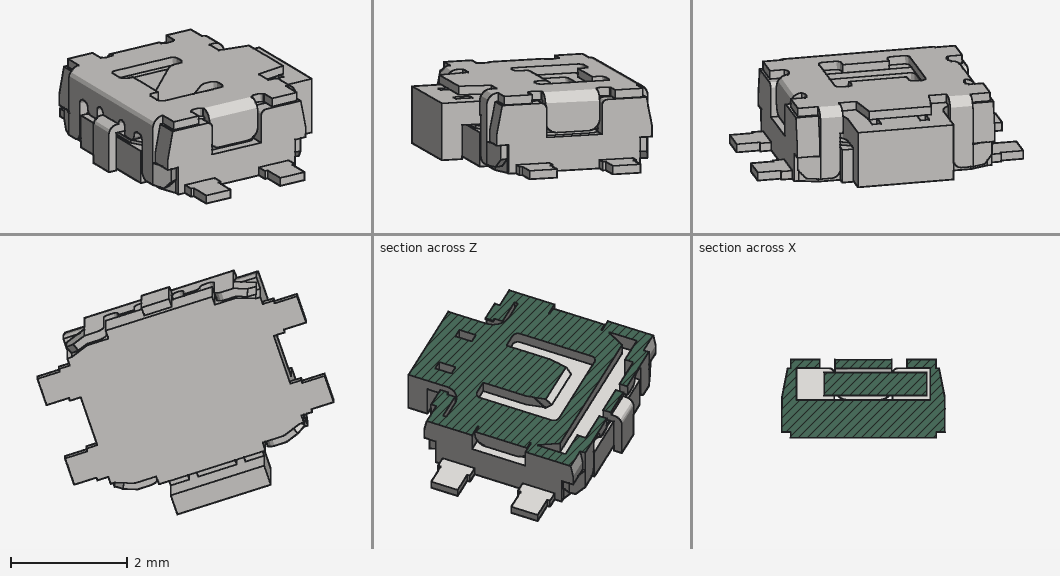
import cadquery as cq
import math

SHEET = 0.15
SMALL_R = 0.1
BEND_R = 0.2
HEIGHT = 1.35

BODY_X = 1.75
BODY_Y = 1.3
BODY_Z = HEIGHT - SHEET
FLOOR_Z = 0.595
CAVITY_X = 1.505
CAVITY_Y = 1.145
MOUTH_X = 1.0
BLOCK_X = 0.965

CORNER_Y = 1.4
POST_BREAK_Z = 0.7
POST_FOOT_Z = 0.505

FLAP_X = 1.35
FLAP_Y = BODY_Y + SHEET
FLAP_FOOT_Z = 0.1
WING_ANGLE = 20.0
WING_REACH = 1.72

SIDE_Y = 0.5
SIDE_X = 1.65

ARM_X = 0.845


def box(x0, x1, y0, y1, z0, z1):
    """Axis-aligned block between two corners."""
    return cq.Workplane("XY").box(x1 - x0, y1 - y0, z1 - z0, centered=False).translate((x0, y0, z0))


def with_mirrors(shape, *planes):
    """Shape joined with its mirror image in each plane in turn."""
    for plane in planes:
        shape = shape.union(shape.mirror(plane))
    return shape


def corner_post():
    """Post in the +X, -Y corner; its outer face leans inward at the top."""
    profile = [
        (0, POST_FOOT_Z),
        (-CORNER_Y, POST_FOOT_Z),
        (-CORNER_Y, POST_BREAK_Z),
        (-BODY_Y, BODY_Z),
        (0, BODY_Z),
    ]
    post = cq.Workplane("YZ").polyline(profile).close().extrude(BODY_X - FLAP_X)
    return post.translate((FLAP_X, 0, 0))


def wing_relief():
    """Pocket in the +X, -Y corner below the post, parallel to the wing."""
    run = (WING_REACH - FLAP_X) - SHEET * math.sin(math.radians(WING_ANGLE))
    inner_y = BODY_Y - run * math.tan(math.radians(WING_ANGLE))
    plan = [
        (FLAP_X, -BODY_Y),
        (FLAP_X + run, -inner_y),
        (BODY_X, -inner_y),
        (BODY_X, -FLAP_Y),
        (FLAP_X, -FLAP_Y),
    ]
    return cq.Workplane("XY").polyline(plan).close().extrude(POST_FOOT_Z)


def side_window():
    """Opening through both side walls with rounded upper lips."""
    sill_to_top = BODY_Z - FLOOR_Z
    return (
        cq.Workplane("YZ")
        .moveTo(-SIDE_Y, FLOOR_Z)
        .lineTo(SIDE_Y, FLOOR_Z)
        .vLine(sill_to_top - SMALL_R)
        .radiusArc((SIDE_Y + SMALL_R, BODY_Z), SMALL_R)
        .hLine(-2 * (SIDE_Y + SMALL_R))
        .radiusArc((-SIDE_Y, BODY_Z - SMALL_R), SMALL_R)
        .close()
        .extrude(BODY_X, both=True)
    )


def make_body():
    body = box(-BODY_X, BODY_X, -BODY_Y, BODY_Y, 0, BODY_Z)
    body = body.union(with_mirrors(corner_post(), "YZ", "XZ"))
    body = body.cut(with_mirrors(wing_relief(), "YZ", "XZ"))
    body = body.cut(box(-CAVITY_X, CAVITY_X, -CAVITY_Y, CAVITY_Y, FLOOR_Z, BODY_Z))
    body = body.cut(box(-MOUTH_X, MOUTH_X, -FLAP_Y, FLAP_Y, FLOOR_Z, BODY_Z))
    body = body.cut(side_window())
    return body.union(box(-BLOCK_X, BLOCK_X, -FLAP_Y, FLAP_Y, 0, FLOOR_Z))


FILM_TOP_Z = 0.655
FILM_X = 1.575
FILM_Y = 1.4
FILM_ANGLE = 29.0
FILM_END_X = 0.55


def make_film():
    """Film over the cavity floor, reaching into the side windows and end openings."""
    thickness = FILM_TOP_Z - FLOOR_Z
    film = box(-CAVITY_X, CAVITY_X, -CAVITY_Y, CAVITY_Y, 0, thickness)
    side_ears = box(-FILM_X, FILM_X, -SIDE_Y, SIDE_Y, 0, thickness)
    film = film.union(side_ears.edges("|Z").fillet(SHEET))
    ear_root_y = FILM_Y - (MOUTH_X - FILM_END_X) * math.tan(math.radians(FILM_ANGLE))
    end_ear = [
        (-MOUTH_X, 0),
        (-MOUTH_X, -ear_root_y),
        (-FILM_END_X, -FILM_Y),
        (FILM_END_X, -FILM_Y),
        (MOUTH_X, -ear_root_y),
        (MOUTH_X, 0),
    ]
    end_ear = cq.Workplane("XY").polyline(end_ear).close().extrude(thickness)
    return film.union(with_mirrors(end_ear, "XZ")).translate((0, 0, FLOOR_Z))


LEAD_PITCH_Y = 0.75
LEAD_TIP_X = 2.35
LEAD_STEP_X = 1.945
LEAD_HALF_WIDTH = 0.25
LEAD_ROOT_HALF_WIDTH = 0.3


def make_leads():
    y = LEAD_PITCH_Y
    tip = box(BODY_X, LEAD_TIP_X, y - LEAD_HALF_WIDTH, y + LEAD_HALF_WIDTH, 0, SHEET)
    root = box(BODY_X, LEAD_STEP_X, y - LEAD_ROOT_HALF_WIDTH, y + LEAD_ROOT_HALF_WIDTH, 0, SHEET)
    return with_mirrors(tip.union(root), "YZ", "XZ")


TONGUE_TIP_X = 0.41
TONGUE_ROOT_X = 0.505
TONGUE_BEND_Y = 0.145
TONGUE_TIP_Y = -0.405
TONGUE_ANGLE = 48.0


def tongue_bend_end_y():
    """Y where the bend of the tongue runs out into its straight slope."""
    return TONGUE_BEND_Y - SHEET * math.sin(math.radians(TONGUE_ANGLE))


def tongue_outline(half_width):
    """Full-height prism over the tongue: straight at the bend, then tapering to the tip."""
    tip_x = TONGUE_TIP_X - (TONGUE_ROOT_X - half_width)
    plan = [
        (-half_width, TONGUE_BEND_Y),
        (-half_width, tongue_bend_end_y()),
        (-tip_x, TONGUE_TIP_Y),
        (tip_x, TONGUE_TIP_Y),
        (half_width, tongue_bend_end_y()),
        (half_width, TONGUE_BEND_Y),
    ]
    return cq.Workplane("XY").polyline(plan).close().extrude(HEIGHT)


PLUNGER_Z0 = 0.725
PLUNGER_Z1 = 1.125
FRAME_FRONT_Y = -0.965
FRAME_BACK_Y = 1.09
FRAME_NOSE_X = 1.315
FRAME_SHOULDER_Y = -0.63
ARM_ROOT_R = 0.3
OPENING_FRONT_Y = -0.69
OPENING_BACK_Y = 0.845
CAM_X = 0.5
BUTTON_Y = 2.1
BUTTON_DEPTH = 0.36
BUTTON_Z0 = 0.125
ARM_SLOT_X0 = 0.35
ARM_SLOT_X1 = 0.508
ARM_SLOT_LENGTH = 0.3


def cam_ramp():
    """Ramp of the plunger that fills the space under the tongue."""
    drop = BODY_Z - PLUNGER_Z0
    toe_y = TONGUE_BEND_Y - drop / math.tan(math.radians(TONGUE_ANGLE))
    side = [(TONGUE_BEND_Y, BODY_Z), (toe_y, PLUNGER_Z0), (TONGUE_BEND_Y, PLUNGER_Z0)]
    wedge = cq.Workplane("YZ").polyline(side).close().extrude(CAM_X, both=True)
    return wedge.intersect(tongue_outline(CAM_X))


def make_plunger():
    height = PLUNGER_Z1 - PLUNGER_Z0
    frame_plan = [
        (-CAVITY_X, FRAME_BACK_Y),
        (-CAVITY_X, FRAME_SHOULDER_Y),
        (-FRAME_NOSE_X, FRAME_FRONT_Y),
        (FRAME_NOSE_X, FRAME_FRONT_Y),
        (CAVITY_X, FRAME_SHOULDER_Y),
        (CAVITY_X, FRAME_BACK_Y),
    ]
    frame = cq.Workplane("XY").polyline(frame_plan).close().extrude(height).translate((0, 0, PLUNGER_Z0))
    arm = box(-ARM_X, ARM_X, 0, BUTTON_Y, PLUNGER_Z0, PLUNGER_Z1)
    plunger = frame.union(arm)

    margin = SMALL_R
    root_corners = cq.selectors.BoxSelector(
        (-ARM_X - margin, FRAME_BACK_Y - margin, 0),
        (ARM_X + margin, FRAME_BACK_Y + margin, HEIGHT),
    )
    plunger = plunger.edges("|Z").edges(root_corners).fillet(ARM_ROOT_R)

    opening = box(-ARM_X, ARM_X, OPENING_FRONT_Y, OPENING_BACK_Y, PLUNGER_Z0, PLUNGER_Z1)
    cam = box(-CAM_X, CAM_X, TONGUE_BEND_Y, OPENING_BACK_Y, PLUNGER_Z0, BODY_Z)
    plunger = plunger.cut(opening.edges("|Z").fillet(SMALL_R)).union(cam).union(cam_ramp())

    button_back = BUTTON_Y - BUTTON_DEPTH
    slot_front = button_back - ARM_SLOT_LENGTH
    slot = box(ARM_SLOT_X0, ARM_SLOT_X1, slot_front, button_back, PLUNGER_Z0, PLUNGER_Z1)
    plunger = plunger.cut(with_mirrors(slot, "YZ"))
    return plunger.union(box(-ARM_X, ARM_X, button_back, BUTTON_Y, BUTTON_Z0, PLUNGER_Z1))


PLATE_X = 1.7
NOTCH_X = 1.4
NOTCH_Y = 0.745
SIDE_FLAP_Y = 0.49
SIDE_FOOT_Z = 0.655
REAR_GAP_X = 0.95
REAR_GAP_Y = 1.145
LIP_TIP_X = 0.55
LIP_ROOT_X = 0.645
LIP_Y = 1.7

WINDOW_X = 0.805
WINDOW_R = 0.095
WINDOW_FRONT_Y = -0.955
WINDOW_BACK_Y = 0.352
WINDOW_STEP_X = 0.41
WINDOW_STEP_Y = -0.75

ARCH_TOP_Z = 0.902
ARCH_X0 = 0.743
HEM_Z = 0.7
SLOT_TOP_Z = 0.96
TAB_X = 0.25
TAB_Y = 1.65


def bent_strip(half_width, reach, foot_z):
    """Strip running along +X, bent down at the given reach."""
    inner_r = BEND_R - SHEET
    bend_z = HEIGHT - BEND_R
    return (
        cq.Workplane("XZ")
        .moveTo(0, HEIGHT)
        .lineTo(reach - BEND_R, HEIGHT)
        .radiusArc((reach, bend_z), BEND_R)
        .lineTo(reach, foot_z)
        .hLine(-SHEET)
        .lineTo(reach - SHEET, bend_z)
        .radiusArc((reach - BEND_R, bend_z + inner_r), -inner_r)
        .lineTo(0, BODY_Z)
        .close()
        .extrude(half_width, both=True)
    )


def wing():
    """Wing at the +X end of the front flap, folded back onto the housing."""
    fold = math.radians(WING_ANGLE)
    length = (WING_REACH - FLAP_X) / math.cos(fold)
    flat = box(0, length, 0, SHEET, FLAP_FOOT_Z, POST_FOOT_Z)
    flat = flat.edges("|Y and >X and <Z").chamfer(SHEET)
    root = box(-SHEET, 0, 0, SHEET, FLAP_FOOT_Z, POST_FOOT_Z)
    folded = flat.union(root).rotate((0, 0, 0), (0, 0, 1), WING_ANGLE).translate((FLAP_X, -FLAP_Y, 0))
    return folded.intersect(box(FLAP_X, BODY_X, -FLAP_Y, 0, 0, HEIGHT))


def flap_mouth(half_width, top_z):
    """Opening between the two legs of a flap, flared at the foot of each leg."""
    return (
        cq.Workplane("XZ")
        .moveTo(-half_width - SHEET, FLAP_FOOT_Z)
        .radiusArc((-half_width, FLAP_FOOT_Z + SHEET), -SHEET)
        .lineTo(-half_width, top_z)
        .lineTo(half_width, top_z)
        .lineTo(half_width, FLAP_FOOT_Z + SHEET)
        .radiusArc((half_width + SHEET, FLAP_FOOT_Z), -SHEET)
        .close()
        .extrude(FLAP_Y)
    )


def front_arch():
    """Rounded cutout beside the +X leg, blending into the hem."""
    return (
        cq.Workplane("XZ")
        .moveTo(MOUTH_X, HEM_Z)
        .lineTo(MOUTH_X, ARCH_TOP_Z - SMALL_R)
        .radiusArc((MOUTH_X - SMALL_R, ARCH_TOP_Z), -SMALL_R)
        .lineTo(ARCH_X0 + SMALL_R, ARCH_TOP_Z)
        .radiusArc((ARCH_X0, ARCH_TOP_Z - SMALL_R), -SMALL_R)
        .lineTo(ARCH_X0, HEM_Z + SMALL_R)
        .radiusArc((ARCH_X0 - SMALL_R, HEM_Z), SMALL_R)
        .close()
        .extrude(FLAP_Y)
    )


def tab_relief():
    """Round-topped slot beside the front tab, on the +X side."""
    arc_z = SLOT_TOP_Z - SMALL_R
    return (
        cq.Workplane("XZ")
        .moveTo(TAB_X, HEM_Z)
        .lineTo(TAB_X, arc_z)
        .radiusArc((TAB_X + 2 * SMALL_R, arc_z), SMALL_R)
        .lineTo(TAB_X + 2 * SMALL_R, HEM_Z)
        .close()
        .extrude(FLAP_Y)
    )


def front_tab():
    """Tab folded outward from the front flap and down to the board."""
    top_z = HEM_Z + SHEET
    return (
        cq.Workplane("YZ")
        .moveTo(-BODY_Y, HEM_Z)
        .lineTo(-BODY_Y, top_z)
        .lineTo(-TAB_Y + SHEET, top_z)
        .radiusArc((-TAB_Y, HEM_Z), -SHEET)
        .lineTo(-TAB_Y, 0)
        .hLine(SHEET)
        .lineTo(-TAB_Y + SHEET, HEM_Z)
        .close()
        .extrude(TAB_X, both=True)
    )


def cover_window():
    """Window in the top plate, leaving a tab at its front edge."""
    window = box(-WINDOW_X, WINDOW_X, WINDOW_FRONT_Y, WINDOW_BACK_Y, BODY_Z, HEIGHT)
    step = box(-WINDOW_STEP_X, WINDOW_STEP_X, WINDOW_FRONT_Y, WINDOW_STEP_Y, BODY_Z, HEIGHT)
    root = box(-TONGUE_ROOT_X, TONGUE_ROOT_X, TONGUE_BEND_Y, WINDOW_BACK_Y, BODY_Z, HEIGHT)
    window = window.cut(step).cut(root)
    return window.edges("|Z and (>Y or <Y)").fillet(WINDOW_R)


def tongue():
    """Tapered tongue folded down into the plunger opening."""
    fold = math.radians(TONGUE_ANGLE)
    bend_y = tongue_bend_end_y()
    bend_z = BODY_Z + SHEET * math.cos(fold)
    tip_z = bend_z - (bend_y - TONGUE_TIP_Y) * math.tan(fold)
    side = (
        cq.Workplane("YZ")
        .moveTo(TONGUE_BEND_Y, BODY_Z)
        .lineTo(TONGUE_BEND_Y, HEIGHT)
        .radiusArc((bend_y, bend_z), -SHEET)
        .lineTo(TONGUE_TIP_Y, tip_z)
        .lineTo(TONGUE_TIP_Y + SHEET * math.sin(fold), tip_z - SHEET * math.cos(fold))
        .close()
        .extrude(TONGUE_ROOT_X, both=True)
    )
    return side.intersect(tongue_outline(TONGUE_ROOT_X))


def make_cover():
    plate_y = FLAP_Y - BEND_R
    cover = box(-PLATE_X, PLATE_X, -plate_y, plate_y, BODY_Z, HEIGHT)

    trim = box(SIDE_X - BEND_R, PLATE_X, -NOTCH_Y, NOTCH_Y, BODY_Z, HEIGHT)
    relief = box(NOTCH_X, PLATE_X, SIDE_FLAP_Y, NOTCH_Y, BODY_Z, HEIGHT).edges("|Z and <X").fillet(SMALL_R)
    cover = cover.cut(with_mirrors(trim, "YZ")).cut(with_mirrors(relief, "YZ", "XZ"))
    side_flap = bent_strip(SIDE_FLAP_Y, SIDE_X, SIDE_FOOT_Z).edges("|X and <Z").fillet(BEND_R)
    cover = cover.union(with_mirrors(side_flap, "YZ"))

    flap = bent_strip(FLAP_X, FLAP_Y, FLAP_FOOT_Z)
    front = flap.rotate((0, 0, 0), (0, 0, 1), -90)
    front = front.cut(flap_mouth(MOUTH_X, HEM_Z))
    front = front.cut(with_mirrors(front_arch().union(tab_relief()), "YZ"))
    rear = flap.rotate((0, 0, 0), (0, 0, 1), 90)
    rear = rear.cut(flap_mouth(MOUTH_X, ARCH_TOP_Z).mirror("XZ"))
    cover = cover.union(front).union(rear).union(with_mirrors(wing(), "YZ", "XZ"))
    cover = cover.union(front_tab())

    cover = cover.cut(box(-REAR_GAP_X, REAR_GAP_X, REAR_GAP_Y, FLAP_Y, HEM_Z, HEIGHT))
    lip_plan = [
        (-LIP_ROOT_X, REAR_GAP_Y),
        (-LIP_TIP_X, LIP_Y),
        (LIP_TIP_X, LIP_Y),
        (LIP_ROOT_X, REAR_GAP_Y),
    ]
    lip = cq.Workplane("XY").polyline(lip_plan).close().extrude(SHEET).translate((0, 0, BODY_Z))

    return cover.union(lip).cut(cover_window()).union(tongue())


result = make_body().union(make_film()).union(make_leads()).union(make_plunger()).union(make_cover())